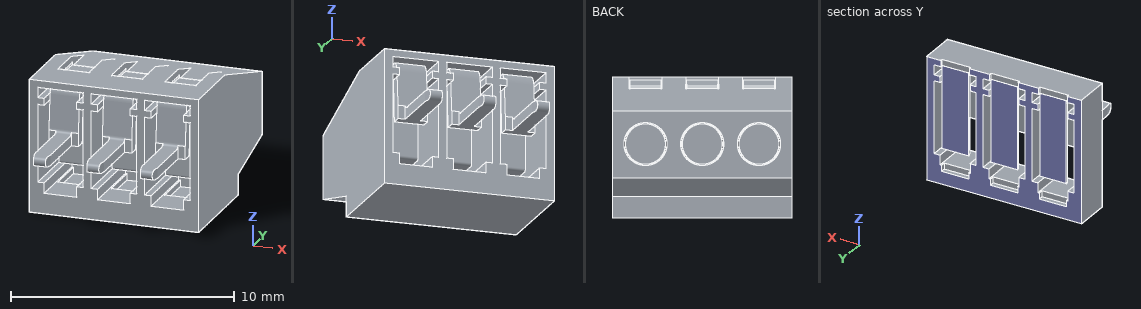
import cadquery as cq
import math


overall_length = 11.3

housing_width = 8.06
housing_height = 6.33
housing_depth = 8.49
foot_depth = 5.29
foot_top = 0.98
back_bottom = 1.8
back_top = 4.8
roof_depth = 3.48
roof_thickness = 0.34
roof_slope = (housing_height - back_top) / (housing_depth - roof_depth)

pole_count = 3
pole_pitch = 2.54

pocket_width = 2.16
pocket_throat = 1.55
pocket_floor = 0.98
pocket_step = 1.48
pocket_depth = 3.68
pocket_ceiling = housing_height - roof_thickness
recess_front = 1.62
recess_floor = 0.68
tab_bottom = 5.18
tab_top = 5.5

window_width = 1.47
window_front = 1.74
window_ledge = 5.81
window_back = roof_depth + (housing_height - window_ledge) / roof_slope

contact_width = 1.4
contact_thickness = 0.5
pin_width = 0.73
pin_tip_width = 0.56
pin_taper_length = 0.5
pin_top = 3.74
pin_bottom = pin_top - contact_thickness
pin_reach = overall_length - housing_depth
contact_shoulder = 0.42
bend_center_y = 0.21
bend_radius = 0.23
leaf_lean = math.radians(5)
leaf_top = 5.54
leaf_crown_radius = 0.61

clamp_bottom = 1.83
clamp_bottom_radius = 0.12
clamp_front = window_front
clamp_nose_radius = 0.32
clamp_crest = 6.18
clamp_flat = 5.92
clamp_flat_front = 2.7
clamp_flat_back = 3.53
clamp_ramp = math.radians(22)
clamp_back_edge = 5.83

bore_radius = 0.96
plug_radius = 0.9
bore_height = 3.32


def side_profile(start):
    """Workplane whose first coordinate is Y and second is Z."""
    return cq.Workplane("YZ").moveTo(*start)


def make_housing():
    """Block with a foot, sloped under the back and sloped over the roof."""
    outline = [
        (0, 0),
        (foot_depth, 0),
        (foot_depth, foot_top),
        (housing_depth, back_bottom),
        (housing_depth, back_top),
        (roof_depth, housing_height),
        (0, housing_height),
    ]
    return cq.Workplane("YZ").polyline(outline).close().extrude(housing_width / 2, both=True)


def block(width, front, back, bottom, top):
    """Box centred on X that fills the given Y and Z ranges."""
    box = cq.Workplane("XY").box(width, back - front, top - bottom, centered=(True, False, False))
    return box.translate((0, front, bottom))


def cylinder_along_y(radius, front, back):
    """Cylinder at bore height between two Y positions."""
    disc = cq.Workplane("XZ", origin=(0, front, bore_height)).circle(radius)
    return disc.extrude(front - back)


def make_cavity():
    """Pocket with a recessed floor under the clamp, roof window and back bore of one pole."""
    throat = block(pocket_throat, 0, pocket_depth, pocket_floor, pocket_ceiling)
    lower = block(pocket_width, 0, pocket_depth, pocket_step, tab_bottom)
    upper = block(pocket_width, 0, pocket_depth, tab_top, pocket_ceiling)
    recess = block(contact_width, recess_front, pocket_depth, recess_floor, pocket_floor)
    window = block(window_width, window_front, window_back, window_ledge, housing_height)
    bore = cylinder_along_y(bore_radius, pocket_depth, housing_depth)
    cavity_shape = throat
    for space in (lower, upper, recess, window, bore):
        cavity_shape = cavity_shape.union(space)
    return cavity_shape


def make_contact():
    """Pin with a rounded, tapered tip, bent up into a wider leaf that runs into the roof."""
    lean_cos = math.cos(leaf_lean)
    lean_sin = math.sin(leaf_lean)
    mid_angle = (leaf_lean + math.pi / 2) / 2
    bend_center_z = pin_top + bend_radius
    bend_mid = (
        bend_center_y + bend_radius * math.cos(mid_angle),
        bend_center_z - bend_radius * math.sin(mid_angle),
    )
    bend_end = (bend_center_y + bend_radius * lean_cos, bend_center_z - bend_radius * lean_sin)
    leaf_end_y = bend_end[0] + (leaf_top - bend_end[1]) * math.tan(leaf_lean)
    crown_y = leaf_end_y + leaf_crown_radius * lean_cos
    crown_z = leaf_top - leaf_crown_radius * lean_sin
    crown_mid = (
        crown_y - leaf_crown_radius * math.cos(mid_angle),
        crown_z + leaf_crown_radius * math.sin(mid_angle),
    )
    inner_radius = leaf_crown_radius - contact_thickness
    leaf_back = bend_end[0] + contact_thickness
    tip_radius = contact_thickness / 2
    tip_start = tip_radius - pin_reach
    profile = (
        side_profile((tip_start, pin_top))
        .lineTo(bend_center_y, pin_top)
        .threePointArc(bend_mid, bend_end)
        .lineTo(leaf_end_y, leaf_top)
        .threePointArc(crown_mid, (crown_y, crown_z + leaf_crown_radius))
        .lineTo(crown_y, crown_z + inner_radius)
        .lineTo(leaf_end_y + contact_thickness, leaf_top)
        .lineTo(leaf_back, pin_bottom)
        .lineTo(tip_start, pin_bottom)
        .threePointArc((-pin_reach, pin_bottom + tip_radius), (tip_start, pin_top))
        .close()
    )
    solid = profile.extrude(contact_width / 2, both=True)

    taper_start = pin_taper_length - pin_reach
    pin_plan = [
        (-pin_tip_width / 2, -pin_reach),
        (pin_tip_width / 2, -pin_reach),
        (pin_width / 2, taper_start),
        (pin_width / 2, contact_shoulder),
        (contact_width / 2, contact_shoulder),
        (contact_width / 2, window_front),
        (-contact_width / 2, window_front),
        (-contact_width / 2, contact_shoulder),
        (-pin_width / 2, contact_shoulder),
        (-pin_width / 2, taper_start),
    ]
    plan = cq.Workplane("XY").polyline(pin_plan).close().extrude(housing_height)
    return solid.intersect(plan)


def make_clamp():
    """Clamp body with a rounded nose, a ramp behind it and a plug reaching through the back wall."""
    nose_y = clamp_front + clamp_nose_radius
    nose_z = clamp_crest - clamp_nose_radius
    ramp_start = (
        nose_y + clamp_nose_radius * math.sin(clamp_ramp),
        nose_z + clamp_nose_radius * math.cos(clamp_ramp),
    )
    corner = clamp_bottom_radius * (1 - math.sqrt(0.5))
    profile = (
        side_profile((clamp_front, clamp_bottom + clamp_bottom_radius))
        .lineTo(clamp_front, nose_z)
        .threePointArc((nose_y, clamp_crest), ramp_start)
        .lineTo(clamp_flat_front, clamp_flat)
        .lineTo(clamp_flat_back, clamp_flat)
        .lineTo(pocket_depth, clamp_back_edge)
        .lineTo(pocket_depth, clamp_bottom)
        .lineTo(clamp_front + clamp_bottom_radius, clamp_bottom)
        .threePointArc(
            (clamp_front + corner, clamp_bottom + corner),
            (clamp_front, clamp_bottom + clamp_bottom_radius),
        )
        .close()
    )
    plug = cylinder_along_y(plug_radius, pocket_depth, housing_depth)
    return profile.extrude(contact_width / 2, both=True).union(plug)


result = make_housing()
cavity = make_cavity()
metal_parts = make_contact().union(make_clamp())
for pole in range(pole_count):
    offset = ((pole - (pole_count - 1) / 2) * pole_pitch, 0, 0)
    result = result.cut(cavity.translate(offset)).union(metal_parts.translate(offset))